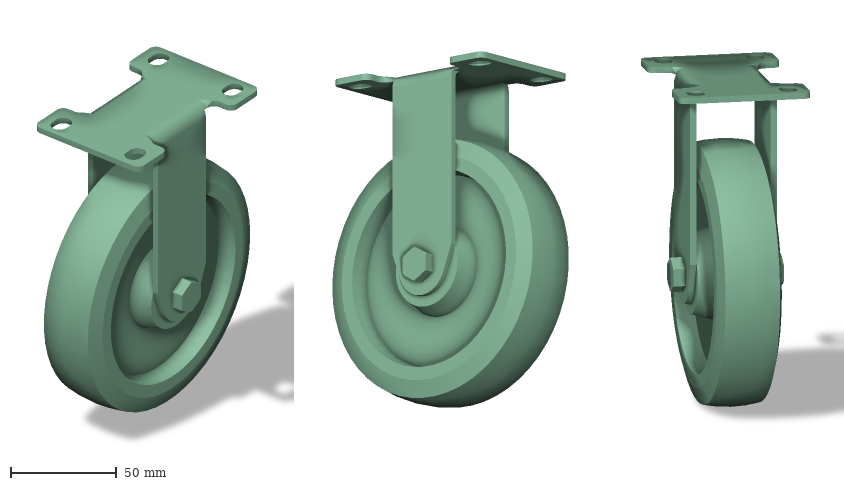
import cadquery as cq
import math


wheel_radius = 63.5
mount_height = 95.2
sheet = 3.0

plate_width = 63.5
plate_length = 92.4
ear_length = 21.6
ear_corner_radius = 3.8
slot_width = 8.4
slot_length = 11.3
slot_x = 22.2
slot_y = 37.1

fork_half_width = 21.0
bend_radius = 6.4
bend_length = 40.3
leg_width = 36.5
leg_end_radius = 14.1
leg_taper_height = 8.3

axle_diameter = 12.7
hex_across_flats = 14.5
hex_end_x = 26.7
hex_chamfer = 0.5

rim_half_width = 15.7
tread_half_width = 13.2
tread_edge_radius = 62.0
rim_shoulder_radius = 54.0
recess_radius = 47.6
recess_floor_radius = 45.9
recess_depth = 8.9
hub_half_width = 17.5
hub_radius = 19.0
hub_base_radius = 22.0

plate_bottom = mount_height - sheet
bend_start_x = fork_half_width - bend_radius
bend_end_y = bend_length / 2
ear_inner_y = plate_length / 2 - ear_length
relief_radius = ear_inner_y - bend_end_y
bend_exit_x = bend_start_x + math.sqrt(bend_radius**2 - (bend_radius - sheet) ** 2)
relief_x = bend_exit_x + relief_radius


def block(size_x, size_y, z_low, z_high):
    """Box centred on X = Y = 0 between two heights."""
    return cq.Workplane().workplane(offset=z_low).rect(size_x, size_y).extrude(z_high - z_low)


def leg_outline():
    """Both legs seen along X: straight sides tapering tangentially to a round end."""
    half = leg_width / 2
    corner_angle = math.atan2(leg_taper_height, half)
    corner_distance = math.hypot(half, leg_taper_height)
    tangent_angle = corner_angle - math.acos(leg_end_radius / corner_distance)
    tangent_y = leg_end_radius * math.cos(tangent_angle)
    tangent_z = leg_end_radius * math.sin(tangent_angle)
    return (
        cq.Workplane("YZ")
        .moveTo(-half, mount_height)
        .lineTo(-half, leg_taper_height)
        .lineTo(-tangent_y, tangent_z)
        .threePointArc((0, -leg_end_radius), (tangent_y, tangent_z))
        .lineTo(half, leg_taper_height)
        .lineTo(half, mount_height)
        .close()
        .extrude(fork_half_width, both=True)
    )


def bent_strap():
    """Sheet bent into a fork, slightly wider at plate level than down the legs."""
    fork_inside = 2 * (fork_half_width - sheet)
    outside = block(2 * fork_half_width, bend_length, -leg_end_radius, mount_height)
    outside = outside.edges("|Y and >Z").fillet(bend_radius)
    inside = block(fork_inside, bend_length, -leg_end_radius, plate_bottom)
    inside = inside.edges("|Y and >Z").fillet(bend_radius - sheet)
    plate_level = block(plate_width, bend_length, plate_bottom, mount_height)
    return outside.cut(inside).intersect(leg_outline().union(plate_level))


def mounting_plate():
    """Flat H-shaped plate with a slot near each corner."""
    plate = block(2 * bend_start_x, plate_length, plate_bottom, mount_height)
    for side in (-1, 1):
        ear = block(plate_width, ear_length, plate_bottom, mount_height)
        ear = ear.edges("|Z").fillet(ear_corner_radius)
        plate = plate.union(ear.translate((0, side * (plate_length - ear_length) / 2, 0)))
    return plate


def bend_relief():
    """Corner piece at +X +Y blending the rounded bend into the square edge of an ear."""
    root_x = bend_start_x / 2
    bend_middle_angle = (math.asin((bend_radius - sheet) / bend_radius) + math.pi / 2) / 2
    bend_middle = (
        bend_start_x + bend_radius * math.cos(bend_middle_angle),
        mount_height - bend_radius + bend_radius * math.sin(bend_middle_angle),
    )
    bend_section = (
        cq.Workplane("XZ", origin=(0, bend_end_y, 0))
        .moveTo(root_x, plate_bottom)
        .lineTo(bend_exit_x, plate_bottom)
        .threePointArc(bend_middle, (bend_start_x, mount_height))
        .lineTo(root_x, mount_height)
        .close()
        .val()
    )
    ear_section = (
        cq.Workplane("XZ", origin=(0, ear_inner_y, 0))
        .moveTo(root_x, plate_bottom)
        .lineTo(relief_x, plate_bottom)
        .lineTo(relief_x, mount_height)
        .lineTo(root_x, mount_height)
        .close()
        .val()
    )
    blend = cq.Workplane(cq.Solid.makeLoft([bend_section, ear_section], True))
    round_cut = (
        cq.Workplane(origin=(relief_x, bend_end_y, plate_bottom))
        .circle(relief_radius)
        .extrude(sheet)
    )
    return blend.cut(round_cut)


def hex_bolt():
    """Axle with a chamfered hex head at each end, corners pointing up and down."""
    across_corners = hex_across_flats / math.cos(math.pi / 6)
    leg_inner_x = fork_half_width - sheet
    bolt = cq.Workplane("YZ").circle(axle_diameter / 2).extrude(leg_inner_x, both=True)
    heads = (
        cq.Workplane("YZ")
        .polygon(6, across_corners)
        .extrude(hex_end_x, both=True)
        .rotate((0, 0, 0), (1, 0, 0), 90)
    )
    rounding = cq.Workplane("YZ").circle(across_corners / 2).extrude(hex_end_x, both=True)
    rounding = rounding.faces("<X or >X").chamfer(hex_chamfer)
    between_legs = cq.Workplane("YZ").circle(across_corners).extrude(leg_inner_x, both=True)
    return bolt.union(heads.intersect(rounding).cut(between_legs))


def make_bracket():
    bracket = bent_strap().union(mounting_plate())
    relief = bend_relief()
    mirrored_x = relief.mirror("YZ")
    for piece in (relief, mirrored_x, relief.mirror("XZ"), mirrored_x.mirror("XZ")):
        bracket = bracket.union(piece)
    slots = (
        cq.Workplane(origin=(0, 0, plate_bottom))
        .rarray(2 * slot_x, 2 * slot_y, 2, 2)
        .slot2D(slot_length, slot_width, 90)
        .extrude(sheet)
    )
    return bracket.cut(slots).union(hex_bolt())


def make_wheel():
    """Revolved wheel: crowned tread, drafted side recesses, raised hub and axle bore."""
    bore_radius = axle_diameter / 2
    floor_x = rim_half_width - recess_depth
    return (
        cq.Workplane("XY")
        .moveTo(-hub_half_width, bore_radius)
        .lineTo(-hub_half_width, hub_radius)
        .lineTo(-floor_x, hub_base_radius)
        .lineTo(-floor_x, recess_floor_radius)
        .lineTo(-rim_half_width, recess_radius)
        .lineTo(-rim_half_width, rim_shoulder_radius)
        .lineTo(-tread_half_width, tread_edge_radius)
        .threePointArc((0, wheel_radius), (tread_half_width, tread_edge_radius))
        .lineTo(rim_half_width, rim_shoulder_radius)
        .lineTo(rim_half_width, recess_radius)
        .lineTo(floor_x, recess_floor_radius)
        .lineTo(floor_x, hub_base_radius)
        .lineTo(hub_half_width, hub_radius)
        .lineTo(hub_half_width, bore_radius)
        .close()
        .revolve(360, (0, 0, 0), (1, 0, 0))
    )


bracket = make_bracket()
wheel = make_wheel()
result = cq.Compound.makeCompound([bracket.val(), wheel.val()])